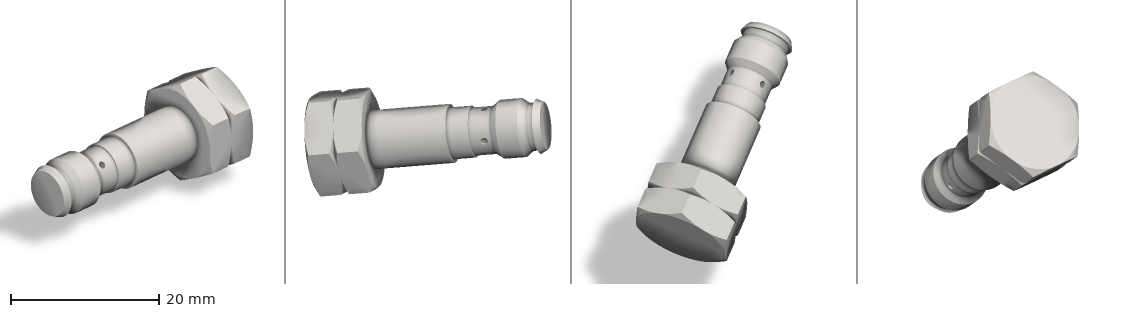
import cadquery as cq
import math

total_length = 32.0

nut_count = 2
nut_thickness = 4.0
nut_across_flats = 13.0
nut_chamfer_angle = 30.0

body_radius = 4.0
step_radius = 3.52
neck_radius = 3.25
lip_radius = 3.75

lip_end = 1.0
groove_end = 2.0
collar_front = 3.0
collar_back = 6.0
neck_start = 7.0
neck_end = 10.0
step_end = 13.0

hole_count = 4
hole_diameter = 1.0
hole_point_angle = 120.0
hole_depth = 0.5
hole_position = 8.0
first_hole_angle = 45.0


def make_shank():
    """Turned profile from the tip up to the far face of the nuts."""
    profile = [
        (0, 0),
        (neck_radius, 0),
        (lip_radius, lip_end),
        (neck_radius, lip_end),
        (neck_radius, groove_end),
        (body_radius, collar_front),
        (body_radius, collar_back),
        (neck_radius, neck_start),
        (neck_radius, neck_end),
        (step_radius, neck_end),
        (step_radius, step_end),
        (body_radius, step_end),
        (body_radius, total_length),
        (0, total_length),
    ]
    return cq.Workplane("XY").polyline(profile).close().revolve(360, (0, 0, 0), (0, 1, 0))


def make_nut(front):
    """Hex prism, corners up and down, with both ends chamfered by cones."""
    face_radius = nut_across_flats / 2
    corner_radius = face_radius / math.cos(math.radians(30))
    chamfer_length = (corner_radius - face_radius) * math.tan(math.radians(nut_chamfer_angle))
    back = front + nut_thickness

    hexagon = (
        cq.Workplane("XZ", origin=(0, front, 0))
        .transformed(rotate=(0, 0, 90))
        .polygon(6, 2 * corner_radius)
        .extrude(-nut_thickness)
    )
    envelope = (
        cq.Workplane("XY")
        .polyline([
            (0, front),
            (face_radius, front),
            (corner_radius, front + chamfer_length),
            (corner_radius, back - chamfer_length),
            (face_radius, back),
            (0, back),
        ])
        .close()
        .revolve(360, (0, 0, 0), (0, 1, 0))
    )
    return hexagon.intersect(envelope)


def make_neck_hole(angle):
    """Cutter for one drilled hole with a conical bottom, pointing at the axis."""
    hole_radius = hole_diameter / 2
    floor = neck_radius - hole_depth
    point_length = hole_radius / math.tan(math.radians(hole_point_angle / 2))
    outer_end = neck_radius + hole_diameter
    cutter = (
        cq.Workplane("XZ")
        .polyline([
            (0, floor - point_length),
            (hole_radius, floor),
            (hole_radius, outer_end),
            (0, outer_end),
        ])
        .close()
        .revolve(360, (0, 0, 0), (0, 1, 0))
        .translate((0, hole_position, 0))
    )
    return cutter.rotate((0, 0, 0), (0, 1, 0), angle)


result = make_shank()

nuts_front = total_length - nut_count * nut_thickness
for index in range(nut_count):
    result = result.union(make_nut(nuts_front + index * nut_thickness))

for index in range(hole_count):
    result = result.cut(make_neck_hole(first_hole_angle + index * 360 / hole_count))